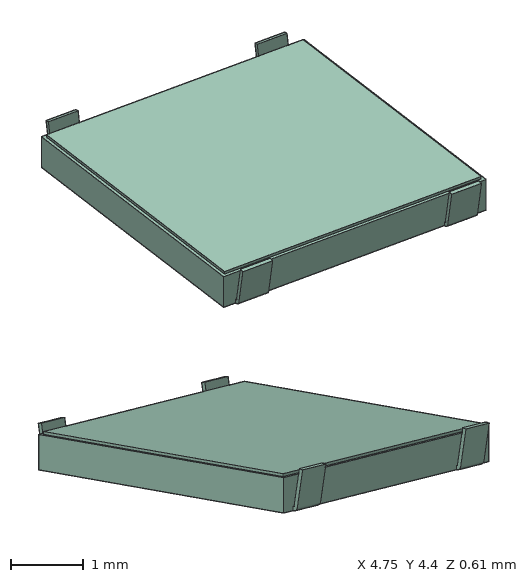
import cadquery as cq
import math

body_side = 4.4
body_height = 0.5
lid_margin = 0.05
lid_height = 0.04

overall_length = 4.75
overall_height = 0.61
tab_width = 0.5
tab_thickness = 0.06
tab_end_gap = 0.2
tab_lean = math.radians(10)
inner_bend_radius = 0.005

half_body = body_side / 2
outer_bend_radius = inner_bend_radius + tab_thickness
bend_angle = math.pi / 2 - tab_lean
tab_center_y = half_body - tab_end_gap - tab_width / 2

outer_tip = (overall_length / 2, overall_height - tab_thickness * math.sin(tab_lean))
inner_tip = (outer_tip[0] - tab_thickness * math.cos(tab_lean), overall_height)

bend_end_height = outer_bend_radius * (1 - math.cos(bend_angle))
lean_run = (outer_tip[1] - bend_end_height) * math.tan(tab_lean)
bend_center_x = outer_tip[0] - lean_run - outer_bend_radius * math.sin(bend_angle)


def bend_point(radius, angle):
    """Point (x, z) on the bend, with the angle measured from straight down."""
    x = bend_center_x + radius * math.sin(angle)
    z = outer_bend_radius - radius * math.cos(angle)
    return (x, z)


def make_body():
    return cq.Workplane("XY").box(body_side, body_side, body_height, centered=(True, True, False))


def make_lid():
    lid_side = body_side - 2 * lid_margin
    lid = cq.Workplane("XY").workplane(offset=body_height)
    return lid.rect(lid_side, lid_side).extrude(lid_height)


def make_tab():
    """Tab on the +X side, centred on Y = 0: a short foot, a bend and a leaning blade."""
    return (
        cq.Workplane("XZ")
        .moveTo(half_body, 0)
        .lineTo(*bend_point(outer_bend_radius, 0))
        .threePointArc(
            bend_point(outer_bend_radius, bend_angle / 2),
            bend_point(outer_bend_radius, bend_angle),
        )
        .lineTo(*outer_tip)
        .lineTo(*inner_tip)
        .lineTo(*bend_point(inner_bend_radius, bend_angle))
        .threePointArc(
            bend_point(inner_bend_radius, bend_angle / 2),
            bend_point(inner_bend_radius, 0),
        )
        .lineTo(half_body, tab_thickness)
        .close()
        .extrude(tab_width / 2, both=True)
    )


result = make_body().union(make_lid())
right_tab = make_tab()
for side_tab in (right_tab, right_tab.mirror("YZ")):
    for tab_y in (-tab_center_y, tab_center_y):
        result = result.union(side_tab.translate((0, tab_y, 0)))